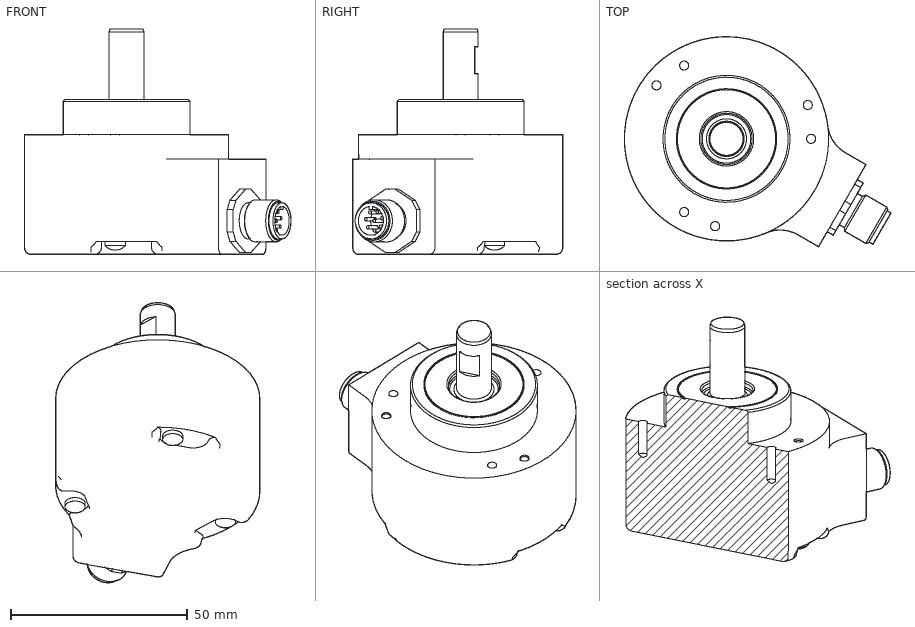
import cadquery as cq
import math

body_radius = 29.0
body_height = 34.0
bottom_rounding = 2.0

flange_radius = 18.0
flange_height = 10.0
flange_top = body_height + flange_height
flange_chamfer = 0.5
shaft_radius = 5.0
shaft_length = 20.0
shaft_top = flange_top + shaft_length
shaft_chamfer_length = 0.9
shaft_chamfer_depth = 0.3
flat_depth = 1.0
flat_bottom = 51.4
flat_top = 58.95

well_radius = 7.3
well_depth = 2.0
well_chamfer = 0.45
well_floor_chamfer = 0.4
collar_radius = 5.7
collar_height = 0.7
ring_groove_radius = 14.1
ring_groove_width = 0.3
ring_groove_depth = 0.3

tapped_circle_radius = 24.0
tapped_radius = 1.3
tapped_depth = 10.0
drill_tip_angle = 118
dimple_circle_radius = 25
dimple_radius = 1.3
dimple_depth = 0.5
dimple_angle = 22.6

block_angle = -30
block_half_width = 13.5
block_face = 37.95
block_height = 27.05
block_blend = 10.0

first_recess_angle = 30
recess_height = 3.7
recess_radius = 4.3
recess_half_width = 7.1
recess_back = 20.7
recess_side_end_top = 25.75
recess_side_end_bottom = 25.15
recess_mouth_rounding = 2.05
recess_mouth_half_width = 15.15
screw_radius = 2.9
screw_rim_height = 2.5
screw_dome_bottom = 1.2

connector_height = 9.55
nut_thickness = 2.0
nut_apothem = 8.55
nut_corner_apothem = 9.0
neck_radius = 5.15
barrel_radius = 6.0
barrel_start = 3.6
barrel_start_chamfer = 0.6
barrel_end_chamfer_start = 11.15
barrel_end = 11.75
barrel_end_radius = 5.5
connector_length = 13.0
bore_radius = 4.1
bore_depth = 7.0
pin_radius = 0.45
pin_setback = 1.8
pin_circle_radius = 2.7
outer_pin_count = 7
first_pin_angle = 16
key_width = 1.1
key_height = 0.9

overlap = 0.75
three_turns = (0, 120, 240)


def turned(solid, angle):
    """Turn a solid about the shaft axis."""
    return solid.rotate((0, 0, 0), (0, 0, 1), angle)


def cylinder(radius, bottom, top):
    return cq.Workplane("XY").workplane(offset=bottom).circle(radius).extrude(top - bottom)


def block_prism(height):
    """Body disc with the connector block on +X, blended by concave arcs; the block runs past its face."""
    blend_centre_y = block_half_width + block_blend
    blend_centre_x = math.sqrt((body_radius + block_blend) ** 2 - blend_centre_y ** 2)
    blend_angle = math.atan2(blend_centre_y, blend_centre_x)
    body_x = body_radius * math.cos(blend_angle)
    body_y = body_radius * math.sin(blend_angle)
    middle_angle = (blend_angle + math.pi + 3 * math.pi / 2) / 2
    middle_x = blend_centre_x + block_blend * math.cos(middle_angle)
    middle_y = blend_centre_y + block_blend * math.sin(middle_angle)
    end_x = block_face + 2 * bottom_rounding
    prism = (
        cq.Workplane("XY")
        .moveTo(end_x, -block_half_width)
        .lineTo(end_x, block_half_width)
        .lineTo(blend_centre_x, block_half_width)
        .threePointArc((middle_x, middle_y), (body_x, body_y))
        .threePointArc((-body_radius, 0), (body_x, -body_y))
        .threePointArc((middle_x, -middle_y), (blend_centre_x, -block_half_width))
        .close()
        .extrude(height)
    )
    return turned(prism, block_angle)


def recess_outline(workplane, side_end):
    """Outline of a recess whose straight sides end in convex mouth arcs and run on past the rim."""
    side_start = recess_back + recess_radius
    back_half_width = recess_half_width - recess_radius
    mouth_x = side_end + recess_mouth_rounding
    mouth_start_y = recess_half_width + recess_mouth_rounding
    outer_x = body_radius + overlap
    return (
        workplane.moveTo(mouth_x, -recess_mouth_half_width)
        .lineTo(mouth_x, -mouth_start_y)
        .radiusArc((side_end, -recess_half_width), -recess_mouth_rounding)
        .lineTo(side_start, -recess_half_width)
        .radiusArc((recess_back, -back_half_width), recess_radius)
        .lineTo(recess_back, back_half_width)
        .radiusArc((side_start, recess_half_width), recess_radius)
        .lineTo(side_end, recess_half_width)
        .radiusArc((mouth_x, mouth_start_y), -recess_mouth_rounding)
        .lineTo(mouth_x, recess_mouth_half_width)
        .lineTo(outer_x, recess_mouth_half_width)
        .lineTo(outer_x, -recess_mouth_half_width)
        .close()
    )


def foot_recess():
    """Cutter for a recess facing +X: its mouth widens downward and its bottom edges flare out."""
    plate = (
        cq.Workplane("XY")
        .rect(2 * (body_radius + overlap), 2 * recess_mouth_half_width)
        .extrude(recess_height)
    )
    lower_slot = recess_outline(cq.Workplane("XY"), recess_side_end_bottom).extrude(recess_height)
    surround = plate.cut(lower_slot)
    surround = surround.faces("<Z").edges("not(<X or <Y or >Y)").fillet(bottom_rounding)
    flare = plate.cut(surround).intersect(cylinder(2 * body_radius, 0, bottom_rounding))

    at_flare_top = cq.Workplane("XY").workplane(offset=bottom_rounding)
    leaning = recess_outline(at_flare_top, recess_side_end_bottom)
    at_ceiling = leaning.workplane(offset=recess_height - bottom_rounding)
    upper_slot = recess_outline(at_ceiling, recess_side_end_top).loft(ruled=True)
    return flare.union(upper_slot)


def screw_head(angle):
    """Pan head hanging from the ceiling of a recess, domed underneath."""
    dome_rise = screw_rim_height - screw_dome_bottom
    dome_radius = (screw_radius ** 2 + dome_rise ** 2) / (2 * dome_rise)
    head = (
        cq.Workplane("XZ")
        .moveTo(0, recess_height + overlap)
        .lineTo(screw_radius, recess_height + overlap)
        .lineTo(screw_radius, screw_rim_height)
        .radiusArc((0, screw_dome_bottom), dome_radius)
        .close()
        .revolve(360, (0, 0), (0, 1))
    )
    return turned(head.translate((dimple_circle_radius, 0, 0)), angle)


def housing():
    """Body and connector block with rounded underside, foot recesses and screw heads."""
    solid = block_prism(block_height).faces("<Z").edges().fillet(bottom_rounding)
    solid = solid.union(cylinder(body_radius, recess_height, body_height))
    recess = foot_recess()
    for turn in three_turns:
        solid = solid.cut(turned(recess, first_recess_angle + turn))
    for turn in three_turns:
        solid = solid.union(screw_head(dimple_angle + turn))
    beyond_face = (
        cq.Workplane(connector_plane)
        .rect(4 * block_half_width, 4 * block_height)
        .extrude(4 * bottom_rounding)
    )
    return solid.cut(beyond_face)


def flange():
    """Pilot flange with the seal well and the ring groove in its top face."""
    disc = cylinder(flange_radius, body_height - overlap, flange_top).faces(">Z").chamfer(flange_chamfer)
    groove = cylinder(ring_groove_radius + ring_groove_width / 2, flange_top - ring_groove_depth, flange_top)
    groove = groove.cut(
        cylinder(ring_groove_radius - ring_groove_width / 2, flange_top - ring_groove_depth, flange_top)
    )
    floor = flange_top - well_depth
    well = (
        cq.Workplane("XZ")
        .moveTo(0, floor)
        .lineTo(well_radius - well_floor_chamfer, floor)
        .lineTo(well_radius, floor + well_floor_chamfer)
        .lineTo(well_radius, flange_top - well_chamfer)
        .lineTo(well_radius + well_chamfer, flange_top)
        .lineTo(0, flange_top)
        .close()
        .revolve(360, (0, 0), (0, 1))
    )
    return disc.cut(groove).cut(well)


def shaft():
    """Shaft with a conical collar at the well floor, a tapered tip and a flat on +Y."""
    floor = flange_top - well_depth
    solid = (
        cq.Workplane("XZ")
        .moveTo(0, floor - overlap)
        .lineTo(collar_radius, floor - overlap)
        .lineTo(collar_radius, floor)
        .lineTo(shaft_radius, floor + collar_height)
        .lineTo(shaft_radius, shaft_top - shaft_chamfer_length)
        .lineTo(shaft_radius - shaft_chamfer_depth, shaft_top)
        .lineTo(0, shaft_top)
        .close()
        .revolve(360, (0, 0), (0, 1))
    )
    flat = cq.Workplane("XY").box(
        2 * shaft_radius, 2 * flat_depth, flat_top - flat_bottom, centered=(True, True, False)
    )
    return solid.cut(flat.translate((0, shaft_radius, flat_bottom)))


def tapped_hole():
    """Blind hole with a drill-point bottom."""
    tip_height = tapped_radius / math.tan(math.radians(drill_tip_angle / 2))
    hole = (
        cq.Workplane("XZ")
        .moveTo(0, body_height)
        .lineTo(tapped_radius, body_height)
        .lineTo(tapped_radius, body_height - tapped_depth)
        .lineTo(0, body_height - tapped_depth - tip_height)
        .close()
        .revolve(360, (0, 0), (0, 1))
    )
    return hole.translate((tapped_circle_radius, 0, 0))


def dimple():
    hole = cylinder(dimple_radius, body_height - dimple_depth, body_height)
    return turned(hole.translate((dimple_circle_radius, 0, 0)), dimple_angle)


def hexagon(apothem, angle):
    """Nut-thick hexagonal prism on the block face, turned by the given angle about its axis."""
    return (
        cq.Workplane(connector_plane)
        .transformed(rotate=(0, 0, angle))
        .polygon(6, 2 * apothem, circumscribed=True)
        .extrude(nut_thickness)
    )


def connector():
    """Round plug connector: corner-cut hex nut, neck, barrel, pin bore, pins and key."""
    nut = hexagon(nut_apothem, 0).intersect(hexagon(nut_corner_apothem, 30))

    plug = (
        cq.Workplane("XZ")
        .moveTo(0, -overlap)
        .lineTo(neck_radius, -overlap)
        .lineTo(neck_radius, barrel_start)
        .lineTo(barrel_radius, barrel_start + barrel_start_chamfer)
        .lineTo(barrel_radius, barrel_end_chamfer_start)
        .lineTo(barrel_end_radius, barrel_end)
        .lineTo(neck_radius, barrel_end)
        .lineTo(neck_radius, connector_length)
        .lineTo(0, connector_length)
        .close()
        .revolve(360, (0, 0), (0, 1))
    )
    bore_floor = connector_length - bore_depth
    plug = plug.cut(cylinder(bore_radius, bore_floor, connector_length))

    pin = cylinder(pin_radius, bore_floor - overlap, connector_length - pin_setback)
    plug = plug.union(pin)
    for index in range(outer_pin_count):
        outer_pin = pin.translate((pin_circle_radius, 0, 0))
        plug = plug.union(turned(outer_pin, first_pin_angle + index * 360 / outer_pin_count))

    key_centre = bore_radius - key_height / 2
    key = cylinder(bore_radius + overlap / 2, bore_floor, connector_length).intersect(
        cq.Workplane("XY")
        .center(0, key_centre + overlap / 2)
        .rect(key_width, key_height + overlap)
        .extrude(connector_length)
    )
    plug = plug.union(key)
    return nut.union(cq.Workplane(plug.val().moved(connector_plane.location)))


block_direction = math.radians(block_angle)
connector_plane = cq.Plane(
    origin=(block_face * math.cos(block_direction), block_face * math.sin(block_direction), connector_height),
    xDir=(-math.sin(block_direction), math.cos(block_direction), 0),
    normal=(math.cos(block_direction), math.sin(block_direction), 0),
)

result = housing().union(flange()).union(shaft()).union(connector())
for turn in three_turns:
    result = result.cut(turned(tapped_hole(), turn))
    result = result.cut(turned(dimple(), turn))